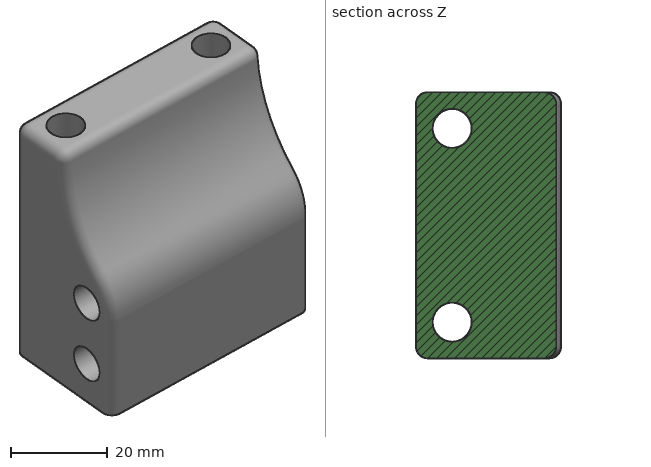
import cadquery as cq
import math

width = 30.0
depth = 55.0
height = 60.0
ledge_width = 15.0
front_height = 25.0
joint_height = 35.0
edge_radius = 2.5

hole_diameter = 8.0
vertical_hole_x = ledge_width / 2
vertical_hole_spacing = 40.0
cross_hole_x = 22.5
cross_hole_heights = (10.0, 26.0)

run = width - ledge_width
drop = height - front_height
radius_sum = (run**2 + drop**2) / (2 * run)
convex_radius = radius_sum * (joint_height - front_height) / drop
concave_radius = radius_sum - convex_radius
sweep = math.asin(drop / radius_sum)


def concave_point(angle):
    """Point (x, z) on the upper arc, at an angle below its level start."""
    return (
        ledge_width + concave_radius * (1 - math.cos(angle)),
        height - concave_radius * math.sin(angle),
    )


def convex_point(angle):
    """Point (x, z) on the lower arc, at an angle above its level end."""
    return (
        width - convex_radius * (1 - math.cos(angle)),
        front_height + convex_radius * math.sin(angle),
    )


def make_body():
    """Extruded S-curve profile, rounded on every edge except those of the base."""
    body = (
        cq.Workplane("XZ")
        .moveTo(0, 0)
        .lineTo(width, 0)
        .lineTo(width, front_height)
        .threePointArc(convex_point(sweep / 2), convex_point(sweep))
        .threePointArc(concave_point(sweep / 2), (ledge_width, height))
        .lineTo(0, height)
        .close()
        .extrude(depth / 2, both=True)
    )
    end_edges = body.faces("<Y or >Y").edges("not <Z")
    top_edges = body.faces(">Z").edges("|Y")
    rounded_edges = end_edges.add(top_edges)
    return rounded_edges.fillet(edge_radius)


def vertical_holes():
    """Pair of holes running the full height under the flat top."""
    return (
        cq.Workplane("XY")
        .center(vertical_hole_x, 0)
        .rarray(1, vertical_hole_spacing, 1, 2)
        .circle(hole_diameter / 2)
        .extrude(height)
    )


def cross_holes():
    """Holes running the full depth along Y, one above the other."""
    centres = [(cross_hole_x, z) for z in cross_hole_heights]
    return (
        cq.Workplane("XZ")
        .pushPoints(centres)
        .circle(hole_diameter / 2)
        .extrude(depth / 2, both=True)
    )


result = make_body().cut(vertical_holes()).cut(cross_holes())